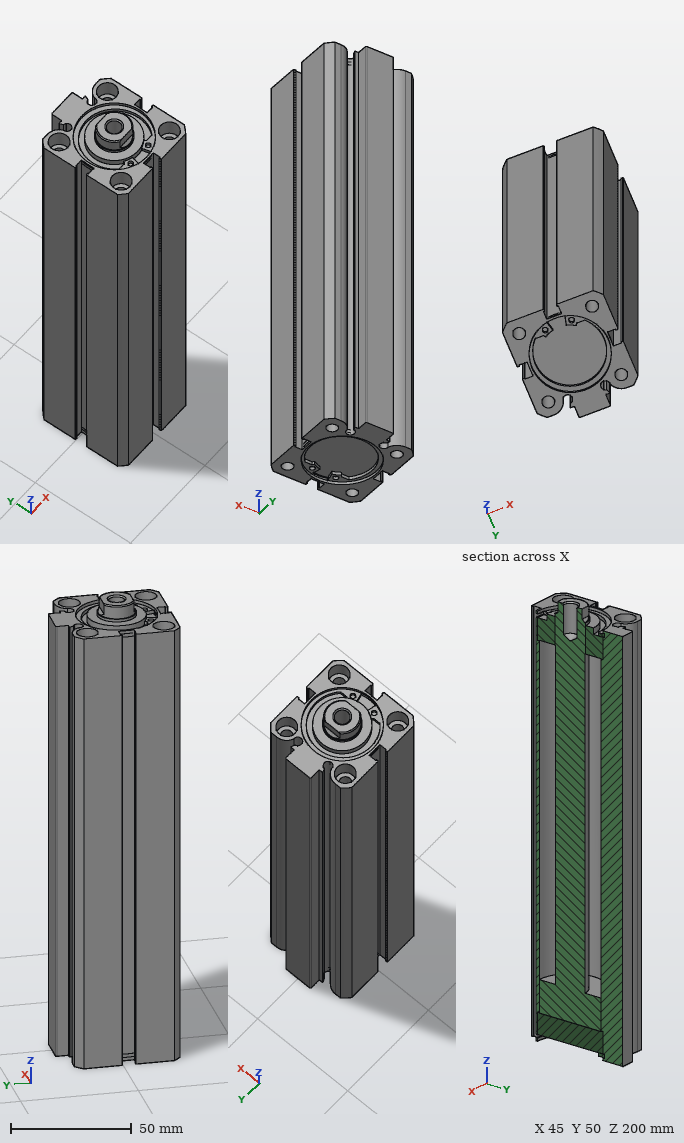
import cadquery as cq
import math


housing_width = 45.0
housing_length = 193.0
half_width = housing_width / 2
corner_arc_radius = 29.6

fixing_spacing = 32.5
fixing_hole_diameter = 5.3
counterbore_diameter = 9.0
counterbore_depth = 8.0

slot_floor = 17.9
slot_width = 6.6
slot_mouth_width = 5.6
slot_mouth_chamfer = 0.25
slot_lip = 1.1

overall_depth = 50.0
rail_top = overall_depth - half_width
rail_width = 14.0
rail_corner_radius = 0.5
lobe_radius = half_width - fixing_spacing / 2
flange_width = 17.6
flange_top = 22.1
flange_edge = 0.3
flange_root_width = 16.0
flange_root = 19.8
notch_radius = 2.0
notch_x = 8.4
notch_y = 18.2

bore_radius = 16.0
recess_radius = 17.0
recess_depth = 13.0
ring_inset = 1.4
ring_thickness = 1.5
ring_outer_radius = 17.7
ring_inner_radius = 15.3
ring_inner_offset = 0.6
ring_gap_half_angle = 14.0
ear_half_angle = 33.5
ear_shoulder = 11.2
ear_hole_radius = 1.2
ear_hole_x = 5.9
ear_hole_y = 13.2

cover_seat = ring_inset + ring_thickness
boss_radius = 12.3
collar_radius = 8.2
collar_height = 1.2

overall_length = 200.0
rod_radius = 7.75
rod_tip_chamfer = 0.5
piston_thickness = 15.0
flats_width = 12.8
flats_length = 4.6
rod_hole_radius = 3.3
rod_hole_depth = 14.0
rod_hole_chamfer = 0.6
drill_half_angle = 59.0


def cylinder(radius, z_low, z_high):
    return cq.Workplane("XY").workplane(offset=z_low).circle(radius).extrude(z_high - z_low)


def block(x_low, x_high, y_low, y_high, z_low, z_high):
    size = (x_high - x_low, y_high - y_low, z_high - z_low)
    return cq.Workplane("XY").box(*size, centered=False).translate((x_low, y_low, z_low))


def sensor_slot():
    """Undercut slot in the -Y side, full length."""
    groove = block(-slot_width / 2, slot_width / 2, slot_lip - half_width, -slot_floor, 0, housing_length)
    half_mouth = slot_mouth_width / 2
    mouth = block(-half_mouth, half_mouth, -half_width, -slot_floor, 0, housing_length)
    half_entry = half_mouth + slot_mouth_chamfer
    entry = (
        cq.Workplane("XY")
        .polyline([
            (-half_entry, -half_width),
            (half_entry, -half_width),
            (half_mouth, slot_mouth_chamfer - half_width),
            (-half_mouth, slot_mouth_chamfer - half_width),
        ])
        .close()
        .extrude(housing_length)
    )
    return groove.union(mouth).union(entry)


def rail_channel():
    """Space on the +Y side between the corner lobes, before the rail is put in."""
    half_span = fixing_spacing / 2
    channel = block(-half_span, half_span, notch_y, half_width, 0, housing_length)
    for side in (-1, 1):
        lobe = cylinder(lobe_radius, 0, housing_length).translate((side * half_span, half_span, 0))
        channel = channel.cut(lobe)
    return channel


def rail():
    """Flanged rail with a waist that is left by the round notches."""
    body = block(-rail_width / 2, rail_width / 2, recess_radius, rail_top, 0, housing_length)
    body = body.edges("|Z and >Y").fillet(rail_corner_radius)
    half_flange = flange_width / 2
    half_root = flange_root_width / 2
    flange = (
        cq.Workplane("XY")
        .polyline([
            (-half_flange, flange_top),
            (half_flange, flange_top),
            (half_flange, flange_top - flange_edge),
            (half_root, flange_root),
            (-half_root, flange_root),
            (-half_flange, flange_top - flange_edge),
        ])
        .close()
        .extrude(housing_length)
    )
    return body.union(flange)


def make_housing():
    body = cq.Workplane("XY").rect(housing_width, housing_width).extrude(housing_length)
    body = body.intersect(cylinder(corner_arc_radius, 0, housing_length))
    body = body.cut(rail_channel()).union(rail())
    for side in (-1, 1):
        body = body.cut(cylinder(notch_radius, 0, housing_length).translate((side * notch_x, notch_y, 0)))
    for angle in (-90, 0, 90):
        body = body.cut(sensor_slot().rotate((0, 0, 0), (0, 0, 1), angle))
    body = (
        body.faces(">Z").workplane(origin=(0, 0, 0))
        .rect(fixing_spacing, fixing_spacing, forConstruction=True)
        .vertices()
        .cboreHole(fixing_hole_diameter, counterbore_diameter, counterbore_depth)
    )
    body = body.cut(cylinder(bore_radius, 0, housing_length))
    for z_low in (0, housing_length - recess_depth):
        body = body.cut(cylinder(recess_radius, z_low, z_low + recess_depth))
    for z_low in (ring_inset, housing_length - cover_seat):
        body = body.cut(cylinder(ring_outer_radius, z_low, z_low + ring_thickness))
    return body


def make_retaining_ring(z_low):
    """Internal circlip, widest opposite its gap, with two drilled ears beside the gap."""
    disc = cylinder(ring_outer_radius, 0, ring_thickness)
    opening = cylinder(ring_inner_radius, 0, ring_thickness).translate((0, -ring_inner_offset, 0))
    ring = disc.cut(opening)

    reach = 2 * ring_outer_radius
    gap_edge = reach * math.tan(math.radians(ring_gap_half_angle))
    shoulder_x = ear_shoulder * math.tan(math.radians(ear_half_angle))
    ear_band = disc.cut(cylinder(boss_radius, 0, ring_thickness))
    for side in (-1, 1):
        sector = (
            cq.Workplane("XY")
            .polyline([
                (0, 0),
                (side * shoulder_x, -ear_shoulder),
                (side * reach, -ear_shoulder),
                (side * reach, -reach),
                (side * gap_edge, -reach),
            ])
            .close()
            .extrude(ring_thickness)
        )
        hole = cylinder(ear_hole_radius, 0, ring_thickness).translate((side * ear_hole_x, -ear_hole_y, 0))
        ring = ring.union(ear_band.intersect(sector)).cut(hole)

    gap = (
        cq.Workplane("XY")
        .polyline([(0, 0), (gap_edge, -reach), (-gap_edge, -reach)])
        .close()
        .extrude(ring_thickness)
    )
    return ring.cut(gap).translate((0, 0, z_low))


def make_front_cover():
    """Guide for the rod: a flange under the ring, a boss flush with the housing and a collar."""
    flange = cylinder(recess_radius, housing_length - recess_depth, housing_length - cover_seat)
    boss = cylinder(boss_radius, housing_length - cover_seat, housing_length)
    collar = cylinder(collar_radius, housing_length, housing_length + collar_height)
    return flange.union(boss).union(collar).cut(cylinder(rod_radius, 0, overall_length))


def make_rear_cover():
    return cylinder(recess_radius, cover_seat, recess_depth)


def make_piston_rod():
    """Rod and piston in one, retracted onto the rear cover; the flats run out at 45 degrees."""
    piston = cylinder(bore_radius, recess_depth, recess_depth + piston_thickness)
    rod = piston.union(cylinder(rod_radius, recess_depth, overall_length))
    rod = rod.faces(">Z").chamfer(rod_tip_chamfer)
    flat_y = flats_width / 2
    flat_low = overall_length - flats_length
    runout = rod_radius - flat_y
    for side in (-1, 1):
        flat_cut = (
            cq.Workplane("YZ")
            .polyline([
                (side * flat_y, overall_length),
                (side * flat_y, flat_low),
                (side * rod_radius, flat_low - runout),
                (side * rod_radius, overall_length),
            ])
            .close()
            .extrude(rod_radius, both=True)
        )
        rod = rod.cut(flat_cut)
    hole_low = overall_length - rod_hole_depth
    tip_low = hole_low - rod_hole_radius / math.tan(math.radians(drill_half_angle))
    mouth_radius = rod_hole_radius + rod_hole_chamfer
    hole = (
        cq.Workplane("XZ")
        .polyline([
            (0, tip_low),
            (rod_hole_radius, hole_low),
            (rod_hole_radius, overall_length - rod_hole_chamfer),
            (mouth_radius, overall_length),
            (0, overall_length),
        ])
        .close()
        .revolve(360, (0, 0, 0), (0, 1, 0))
    )
    return rod.cut(hole)


housing = make_housing()
front_cover = make_front_cover()
rear_cover = make_rear_cover()
piston_rod = make_piston_rod()
retaining_rings = [make_retaining_ring(z) for z in (ring_inset, housing_length - cover_seat)]

result = cq.Compound.makeCompound([
    housing.val(),
    front_cover.val(),
    rear_cover.val(),
    piston_rod.val(),
    *[ring.val() for ring in retaining_rings],
])